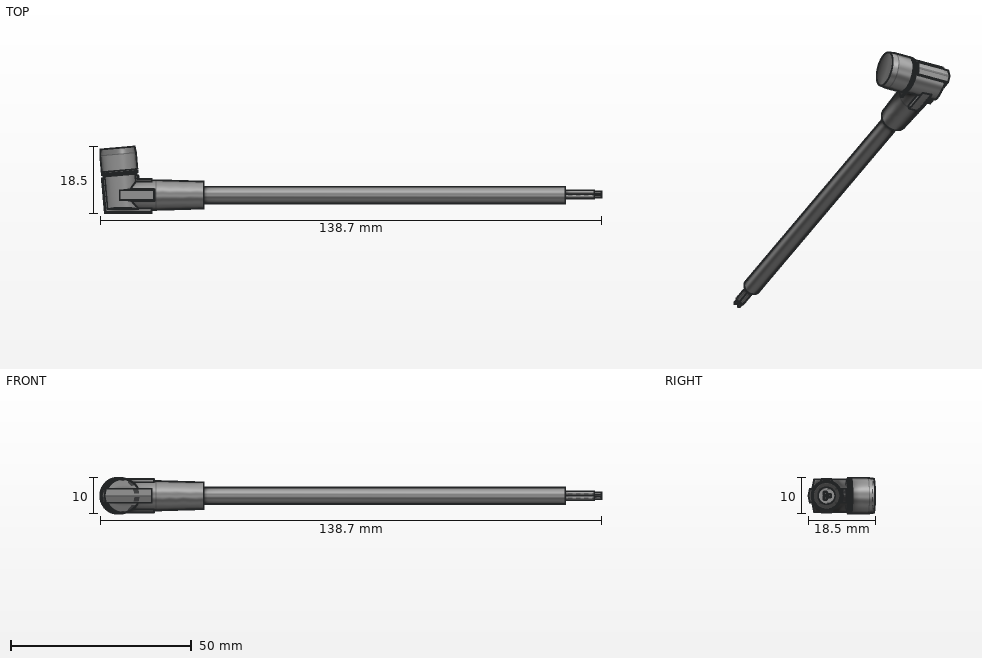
import cadquery as cq
import math


lean_angle = 5.0
head_radius = 4.62
head_top = 5.5
neck_radius = 4.4
flange_radius = 4.95
flange_bottom = 5.9
flange_top = 6.3
nut_radius = 5.0
nut_bottom = 6.8
nut_band_start = 11.4
nut_end_radius = 4.75
nut_end = 13.09

roof_slope = 11.0
head_ridge_y = -4.35
trim_stock = 1.0

ridged_rib_width = 3.8
rib_crest_width = 0.35
end_rib_crest_y = -5.0
ridged_rib_end_x = 8.3
back_rib_crest_y = 4.55
side_rib_reach = 5.1
side_rib_top = 5.1

body_radius = 4.15
sleeve_start_x = 9.4
sleeve_end_x = 22.7
sleeve_end_radius = 3.75

flat_rib_width = 2.7
flat_rib_height = 4.68
flat_rib_foot_height = 3.3
flat_rib_draft = 20.0
flat_rib_start_x = -0.5
flat_rib_end_x = 8.9

cable_diameter = 4.7
cable_length = 100.0
wire_count = 3
wire_diameter = 1.24
wire_spacing = 1.26
wire_exposed_length = 8.0
core_diameter = 0.75
core_exposed_length = 2.0
wire_embed = 1.0

cable_end_x = sleeve_end_x + cable_length


def rod(start_x, length, diameter, y=0.0, z=0.0):
    """Round bar along +X."""
    plane = cq.Workplane("YZ", origin=(start_x, y, z))
    return plane.circle(diameter / 2).extrude(length)


def roof_prism(ridge_y, base_y, half_width, start_x, length, half_crest=0.0):
    """Bar along +X whose -Y side is a shallow roof about z = 0, with a flat crest if half_crest is set."""
    eave_y = ridge_y + (half_width - half_crest) * math.tan(math.radians(roof_slope))
    half_section = [(ridge_y, 0), (ridge_y, half_crest)] if half_crest else [(ridge_y, 0)]
    half_section += [(eave_y, half_width), (base_y, half_width), (base_y, 0)]
    half_bar = cq.Workplane("YZ", origin=(start_x, 0, 0)).polyline(half_section).close().extrude(length)
    return half_bar.union(half_bar.mirror("XY")).clean()


def lean(shape):
    """Turn a shape built on the Y axis onto the head axis."""
    return shape.rotate((0, 0, 0), (0, 0, 1), lean_angle)


def make_head():
    """Head body, flange and nut, with the closed end trimmed to a roof."""
    blank_bottom = end_rib_crest_y - trim_stock
    profile = [
        (0, blank_bottom),
        (head_radius, blank_bottom),
        (head_radius, head_top),
        (neck_radius, head_top),
        (neck_radius, flange_bottom),
        (flange_radius, flange_bottom),
        (flange_radius, flange_top),
        (neck_radius, flange_top),
        (neck_radius, nut_bottom),
        (nut_radius, nut_bottom),
        (nut_radius, nut_band_start),
        (nut_end_radius, nut_end),
        (0, nut_end),
    ]
    turned = cq.Workplane("XY").polyline(profile).close().revolve(360, (0, 0, 0), (0, 1, 0))
    room = 2 * nut_end
    trim = roof_prism(head_ridge_y, room, 2 * nut_radius, -room / 2, room)
    return lean(turned).intersect(trim)


def make_ridged_ribs():
    """Ribs on the head sides, across its closed end and along both edges of the sleeve body."""
    half_width = ridged_rib_width / 2
    half_crest = rib_crest_width / 2
    side_eave = side_rib_reach - (half_width - half_crest) * math.tan(math.radians(roof_slope))
    quarter_section = [
        (0, 0),
        (0, half_width),
        (side_eave, half_width),
        (side_rib_reach, half_crest),
        (side_rib_reach, 0),
    ]
    bar_start = end_rib_crest_y - trim_stock
    plane = cq.Workplane("XZ", origin=(0, bar_start, 0))
    quarter_bar = plane.polyline(quarter_section).close().extrude(bar_start - side_rib_top)
    half_bar = quarter_bar.union(quarter_bar.mirror("XY"))
    head_bar = lean(half_bar.union(half_bar.mirror("YZ")).clean())

    room = 4 * side_rib_reach
    trim = roof_prism(end_rib_crest_y, room, half_width, -room / 2, room, half_crest)
    end_rib = roof_prism(end_rib_crest_y, 0, half_width, 0, ridged_rib_end_x, half_crest)
    back_rib = roof_prism(-back_rib_crest_y, 0, half_width, 0, ridged_rib_end_x, half_crest).mirror("XZ")
    return head_bar.intersect(trim).union(end_rib).union(back_rib)


def make_sleeve():
    """Round body that tapers towards the cable."""
    profile = [
        (0, 0),
        (0, body_radius),
        (sleeve_start_x, body_radius),
        (sleeve_end_x, sleeve_end_radius),
        (sleeve_end_x, 0),
    ]
    return cq.Workplane("XY").polyline(profile).close().revolve(360, (0, 0, 0), (1, 0, 0))


def make_flat_ribs():
    """Two opposite ribs with a flat top and drafted walls."""
    length = flat_rib_end_x - flat_rib_start_x
    middle_x = (flat_rib_start_x + flat_rib_end_x) / 2
    top_plane = cq.Workplane("XY", origin=(middle_x, 0, flat_rib_height))
    depth = flat_rib_height - flat_rib_foot_height
    upper_rib = top_plane.rect(length, flat_rib_width).extrude(-depth, taper=-flat_rib_draft)
    return upper_rib.union(upper_rib.mirror("XY"))


def make_cable():
    """Cable jacket with the stripped wires in a triangle at its end."""
    cable = rod(0, cable_end_x, cable_diameter)
    circle_radius = wire_spacing / math.sqrt(3)
    start_x = cable_end_x - wire_embed
    insulated_length = wire_embed + wire_exposed_length
    for index in range(wire_count):
        angle = 2 * math.pi * index / wire_count
        y = circle_radius * math.cos(angle)
        z = circle_radius * math.sin(angle)
        cable = cable.union(rod(start_x, insulated_length, wire_diameter, y, z))
        cable = cable.union(rod(start_x, insulated_length + core_exposed_length, core_diameter, y, z))
    return cable


result = (
    make_head()
    .union(make_ridged_ribs())
    .union(make_sleeve())
    .union(make_flat_ribs())
    .union(make_cable())
)